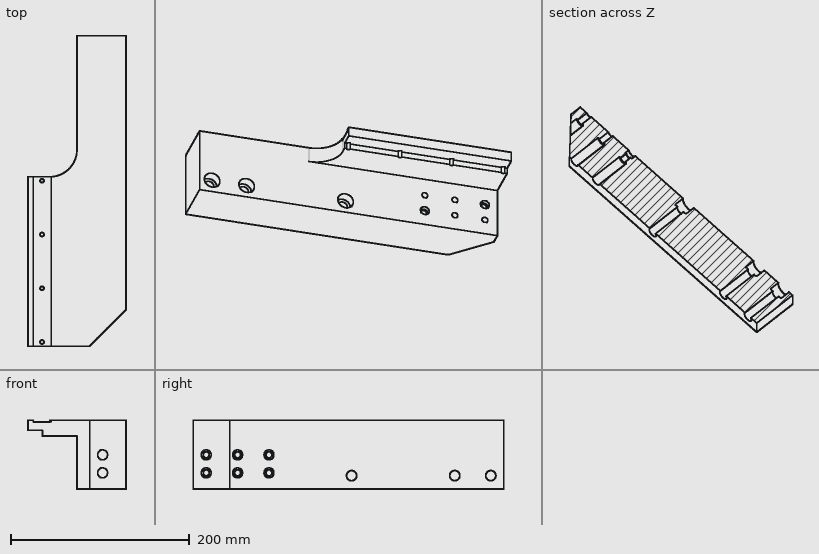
import cadquery as cq

width = 110.0
length = 347.5
height = 77.0

wall_x = 55.0
shelf_length = 189.7
shelf_thickness = 18.0
lip_thickness = 11.5
lip_width = 16.5
shelf_fillet = 30.2
rail_groove_start = 6.3
rail_groove_end = 26.5
rail_groove_depth = 2.0

chamfer = 41.0

rail_hole_diameter = 4.0
rail_hole_x = 16.0
rail_hole_start = 5.0
rail_hole_pitch = 60.0
rail_hole_count = 4

large_hole_diameter = 11.0
large_bore_diameter = 18.0
large_bore_depth = 12.0
large_hole_ys = (177.2, 292.5, 333.0)
large_hole_z = 15.0

small_hole_diameter = 6.5
small_bore_diameter = 11.0
small_wall_thickness = 14.0
grid_start_y = 14.5
grid_pitch_y = 35.0
grid_columns = 3
grid_bottom_z = 18.0
grid_pitch_z = 20.0

locating_diameter = 10.0
locating_depth = 5.2


def x_cylinder(diameter, start_x, end_x, y, z):
    """Cylinder along X between two X positions."""
    return cq.Workplane(cq.Solid.makeCylinder(
        diameter / 2, end_x - start_x, cq.Vector(start_x, y, z), cq.Vector(1, 0, 0)
    ))


def make_body():
    """Wall block with the stepped, grooved shelf and the corner chamfer."""
    wall = cq.Workplane("XY").box(width - wall_x, length, height, centered=False)
    wall = wall.translate((wall_x, 0, 0))
    wall = wall.edges("|Z and >X and <Y").chamfer(chamfer)

    shelf_bottom = height - shelf_thickness
    lip_bottom = height - lip_thickness
    shelf = (
        cq.Workplane("XZ")
        .moveTo(0, lip_bottom)
        .lineTo(lip_width, lip_bottom)
        .lineTo(lip_width, shelf_bottom)
        .lineTo(wall_x, shelf_bottom)
        .lineTo(wall_x, height)
        .lineTo(rail_groove_end, height)
        .lineTo(rail_groove_end, height - rail_groove_depth)
        .lineTo(rail_groove_start, height - rail_groove_depth)
        .lineTo(rail_groove_start, height)
        .lineTo(0, height)
        .close()
        .extrude(-shelf_length)
    )
    corner = (
        cq.Workplane("XY", origin=(0, 0, shelf_bottom))
        .moveTo(wall_x - shelf_fillet, shelf_length)
        .lineTo(wall_x, shelf_length)
        .lineTo(wall_x, shelf_length + shelf_fillet)
        .radiusArc((wall_x - shelf_fillet, shelf_length), shelf_fillet)
        .close()
        .extrude(shelf_thickness)
    )
    return wall.union(shelf).union(corner)


def cut_rail_holes(body):
    """Vertical holes through the shelf, grazing the step behind the lip."""
    centers = [
        (rail_hole_x, rail_hole_start + i * rail_hole_pitch) for i in range(rail_hole_count)
    ]
    holes = (
        cq.Workplane("XY", origin=(0, 0, height - shelf_thickness))
        .pushPoints(centers)
        .circle(rail_hole_diameter / 2)
        .extrude(shelf_thickness)
    )
    return body.cut(holes)


def cut_large_holes(body):
    """Through holes with counterbores sunk from the -X face of the wall."""
    for y in large_hole_ys:
        body = body.cut(x_cylinder(large_hole_diameter, wall_x, width, y, large_hole_z))
        bore_end = wall_x + large_bore_depth
        body = body.cut(x_cylinder(large_bore_diameter, wall_x, bore_end, y, large_hole_z))
    return body


def cut_grid_holes(body):
    """Two rows of small holes, each counterbored from the +X side."""
    top_z = grid_bottom_z + grid_pitch_z
    bore_start = wall_x + small_wall_thickness
    for column in range(grid_columns):
        y = grid_start_y + column * grid_pitch_y
        for z in (grid_bottom_z, top_z):
            body = body.cut(x_cylinder(small_hole_diameter, wall_x, width, y, z))
            body = body.cut(x_cylinder(small_bore_diameter, bore_start, width, y, z))

    last_y = grid_start_y + (grid_columns - 1) * grid_pitch_y
    recess_end = wall_x + locating_depth
    for y, z in ((grid_start_y, top_z), (last_y, grid_bottom_z)):
        body = body.cut(x_cylinder(locating_diameter, wall_x, recess_end, y, z))
    return body


result = cut_grid_holes(cut_large_holes(cut_rail_holes(make_body())))